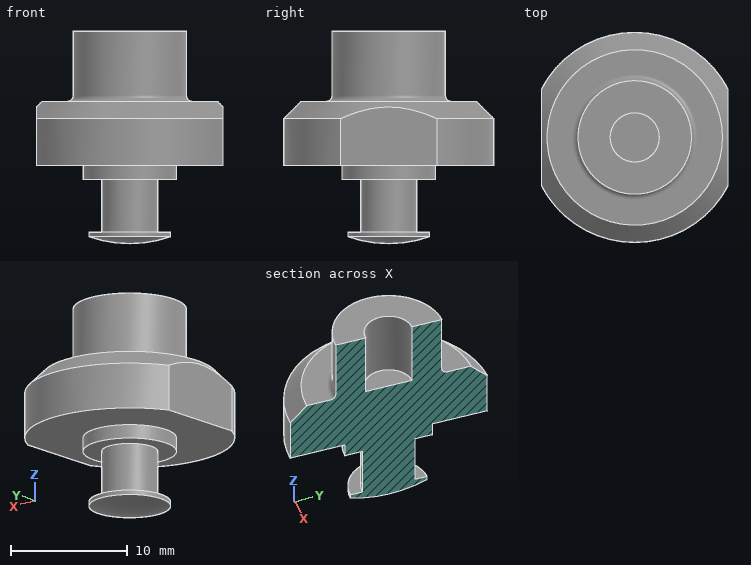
import cadquery as cq

dome_height = 0.6
head_top = 1.0
collar_bottom = 5.5
flange_bottom = 6.7
flange_top = 12.2
total_height = 18.2

head_diameter = 7.0
stem_diameter = 4.8
collar_diameter = 8.0
flange_diameter = 18.0
neck_diameter = 9.72
bore_diameter = 4.2

flange_chamfer = 1.5
neck_fillet = 0.5
width_across_flats = 16.0
bore_depth = total_height - flange_top

head_radius = head_diameter / 2
stem_radius = stem_diameter / 2
collar_radius = collar_diameter / 2
flange_radius = flange_diameter / 2
neck_radius = neck_diameter / 2

dome_radius = (head_radius**2 + dome_height**2) / (2 * dome_height)
dome_mid_radius = head_radius / 2
dome_mid_height = dome_radius - (dome_radius**2 - dome_mid_radius**2) ** 0.5


def turned_body():
    """Revolve the half profile, from the dome tip up to the neck, about Z."""
    profile = (
        cq.Workplane("XZ")
        .moveTo(0, 0)
        .threePointArc((dome_mid_radius, dome_mid_height), (head_radius, dome_height))
        .lineTo(head_radius, head_top)
        .lineTo(stem_radius, head_top)
        .lineTo(stem_radius, collar_bottom)
        .lineTo(collar_radius, collar_bottom)
        .lineTo(collar_radius, flange_bottom)
        .lineTo(flange_radius, flange_bottom)
        .lineTo(flange_radius, flange_top - flange_chamfer)
        .lineTo(flange_radius - flange_chamfer, flange_top)
        .lineTo(neck_radius + neck_fillet, flange_top)
        .radiusArc((neck_radius, flange_top + neck_fillet), neck_fillet)
        .lineTo(neck_radius, total_height)
        .lineTo(0, total_height)
        .close()
    )
    return profile.revolve(360, (0, 0, 0), (0, 1, 0))


def flats_envelope():
    """Block whose X faces cut the two parallel flats on the flange."""
    return cq.Workplane("XY").box(
        width_across_flats, flange_diameter, total_height, centered=(True, True, False)
    )


def bore():
    """Blind hole running down through the neck from its top face."""
    return (
        cq.Workplane("XY")
        .workplane(offset=total_height - bore_depth)
        .circle(bore_diameter / 2)
        .extrude(bore_depth)
    )


result = turned_body().intersect(flats_envelope()).cut(bore())